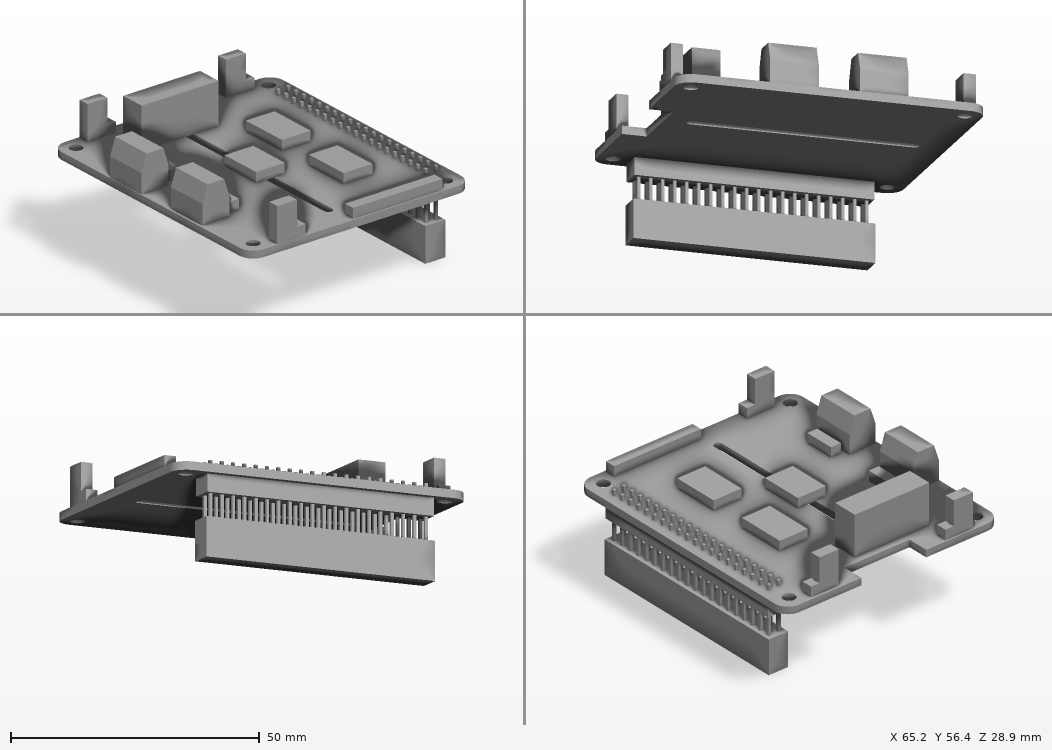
import cadquery as cq

BOARD_LENGTH = 65.2
BOARD_WIDTH = 56.4
BOARD_THICKNESS = 1.75
CORNER_RADIUS = 3.45
MOUNT_HOLE_DIAMETER = 3.0
MOUNT_HOLE_SPACING_X = 58.0
MOUNT_HOLE_SPACING_Y = 49.0
MOUNT_HOLE_EDGE_Y = 3.5
NOTCH_DEPTH = 5.2
NOTCH_FRONT = 19.55
NOTCH_LENGTH = 17.0
SLOT_WIDTH = 2.0
SLOT_CENTRE_Y = 25.2
SLOT_RIGHT_END = 59.25

LOW_HEIGHT = 2.5
BLOCK_LEFT = 6.9
BLOCK_FRONT = 13.0
BLOCK_LENGTH_X = 6.05
BLOCK_LENGTH_Y = 19.55
BLOCK_HEIGHT = 10.05
CHIP_WIDTH = 7.3
CHIP_ROW_FRONT = 35.2
LEFT_CHIP_X = 18.45
LEFT_CHIP_LENGTH = 11.8
RIGHT_CHIP_X = 39.1
RIGHT_CHIP_LENGTH = 11.35
SLOT_CHIP_X = 28.95
SLOT_CHIP_FRONT = 21.65
SLOT_CHIP_LENGTH = 10.3
STRIP_X = 62.2
STRIP_FRONT = 26.5
STRIP_THICKNESS = 2.6
STRIP_LENGTH = 22.75

UPRIGHT_THICKNESS = 2.6
UPRIGHT_LENGTH = 7.25
UPRIGHT_TALL_LENGTH = 5.0
UPRIGHT_HEIGHT = 8.5
FRONT_UPRIGHT_Y = 7.0
UPRIGHT_CORNERS = [
    (0.4, FRONT_UPRIGHT_Y),
    (62.45, FRONT_UPRIGHT_Y),
    (0.65, 42.0),
]

CONNECTOR_LENGTH = 10.3
CONNECTOR_WIDTH = 6.85
CONNECTOR_HEIGHT = 8.75
SHOULDER_HEIGHT = 4.75
SHOULDER_INSET = 1.3
CONNECTOR_CORNERS = [(19.2, 0.1), (38.4, 0.65)]
SMALL_PART_LENGTH = 7.4
SMALL_PART_WIDTH = 2.6
SMALL_PART_FRONT = 8.5
SMALL_PART_OFFSET = 1.5

PIN_COLUMNS = 20
PIN_ROWS = 2
PIN_PITCH = 2.55
PIN_SIZE = 0.65
PIN_HEIGHT = 1.3
PIN_GAP = 5.0
HEADER_CENTRE_X = BOARD_LENGTH / 2
HEADER_CENTRE_Y = 52.5
SPACER_LENGTH = PIN_COLUMNS * PIN_PITCH
SPACER_WIDTH = PIN_ROWS * PIN_PITCH
SPACER_HEIGHT = 3.8
SOCKET_LENGTH = 51.3
TOTAL_HEIGHT = 28.95

BOARD_BOTTOM = -BOARD_THICKNESS
SPACER_BOTTOM = BOARD_BOTTOM - SPACER_HEIGHT
SOCKET_TOP = SPACER_BOTTOM - PIN_GAP
SOCKET_BOTTOM = BLOCK_HEIGHT - TOTAL_HEIGHT


def box(left, front, bottom, length, width, height):
    """A box placed by its left, front, bottom corner."""
    return cq.Workplane("XY").box(length, width, height, centered=False).translate((left, front, bottom))


def header_box(bottom, top, length):
    """A box as wide as the spacer, centred on the pin field."""
    return (
        cq.Workplane("XY", origin=(HEADER_CENTRE_X, HEADER_CENTRE_Y, bottom))
        .box(length, SPACER_WIDTH, top - bottom, centered=(True, True, False))
    )


def pin_field(bottom, top):
    """All the square pins between two heights."""
    return (
        cq.Workplane("XY", origin=(HEADER_CENTRE_X, HEADER_CENTRE_Y, bottom))
        .rarray(PIN_PITCH, PIN_PITCH, PIN_COLUMNS, PIN_ROWS)
        .rect(PIN_SIZE, PIN_SIZE)
        .extrude(top - bottom)
    )


def bare_board():
    """The plate with its corner holes, edge notch and long slot."""
    board = box(0, 0, BOARD_BOTTOM, BOARD_LENGTH, BOARD_WIDTH, BOARD_THICKNESS)
    board = board.edges("|Z").fillet(CORNER_RADIUS)
    hole_centre_y = MOUNT_HOLE_EDGE_Y + MOUNT_HOLE_SPACING_Y / 2
    holes = (
        cq.Workplane("XY", origin=(BOARD_LENGTH / 2, hole_centre_y, BOARD_BOTTOM))
        .rarray(MOUNT_HOLE_SPACING_X, MOUNT_HOLE_SPACING_Y, 2, 2)
        .circle(MOUNT_HOLE_DIAMETER / 2)
        .extrude(BOARD_THICKNESS)
    )
    notch = box(0, NOTCH_FRONT, BOARD_BOTTOM, NOTCH_DEPTH, NOTCH_LENGTH, BOARD_THICKNESS)
    slot_left_end = BLOCK_LEFT + BLOCK_LENGTH_X / 2
    slot_centre_x = (slot_left_end + SLOT_RIGHT_END) / 2
    slot = (
        cq.Workplane("XY", origin=(slot_centre_x, SLOT_CENTRE_Y, BOARD_BOTTOM))
        .slot2D(SLOT_RIGHT_END - slot_left_end, SLOT_WIDTH)
        .extrude(BOARD_THICKNESS)
    )
    return board.cut(holes).cut(notch).cut(slot)


def upright(left, front):
    """An L-shaped part: tall in front, low behind."""
    tall = box(left, front, 0, UPRIGHT_THICKNESS, UPRIGHT_TALL_LENGTH, UPRIGHT_HEIGHT)
    foot = box(left, front, 0, UPRIGHT_THICKNESS, UPRIGHT_LENGTH, LOW_HEIGHT)
    return tall.union(foot)


def connector(left, front):
    """A block whose front and back lean inward above the shoulders."""
    back = front + CONNECTOR_WIDTH
    return (
        cq.Workplane("YZ", origin=(left, 0, 0))
        .moveTo(front, 0)
        .lineTo(back, 0)
        .lineTo(back, SHOULDER_HEIGHT)
        .lineTo(back - SHOULDER_INSET, CONNECTOR_HEIGHT)
        .lineTo(front + SHOULDER_INSET, CONNECTOR_HEIGHT)
        .lineTo(front, SHOULDER_HEIGHT)
        .close()
        .extrude(CONNECTOR_LENGTH)
    )


def board_parts():
    """Everything that stands on the top face of the board."""
    parts = [
        box(BLOCK_LEFT, BLOCK_FRONT, 0, BLOCK_LENGTH_X, BLOCK_LENGTH_Y, BLOCK_HEIGHT),
        box(LEFT_CHIP_X, CHIP_ROW_FRONT, 0, LEFT_CHIP_LENGTH, CHIP_WIDTH, LOW_HEIGHT),
        box(RIGHT_CHIP_X, CHIP_ROW_FRONT, 0, RIGHT_CHIP_LENGTH, CHIP_WIDTH, LOW_HEIGHT),
        box(SLOT_CHIP_X, SLOT_CHIP_FRONT, 0, SLOT_CHIP_LENGTH, CHIP_WIDTH, LOW_HEIGHT),
        box(STRIP_X, STRIP_FRONT, 0, STRIP_THICKNESS, STRIP_LENGTH, LOW_HEIGHT),
    ]
    for left, front in UPRIGHT_CORNERS:
        parts.append(upright(left, front))
    for left, front in CONNECTOR_CORNERS:
        parts.append(connector(left, front))
        small_left = left + SMALL_PART_OFFSET
        parts.append(box(small_left, SMALL_PART_FRONT, 0, SMALL_PART_LENGTH, SMALL_PART_WIDTH, LOW_HEIGHT))
    return parts


def make_board():
    """Body 1: the board with its parts, pierced by the header pins."""
    board = bare_board()
    for part in board_parts():
        board = board.union(part)
    return board.cut(pin_field(BOARD_BOTTOM, 0))


def make_header():
    """Body 2: spacer, pins and socket in one piece."""
    spacer = header_box(SPACER_BOTTOM, BOARD_BOTTOM, SPACER_LENGTH)
    socket = header_box(SOCKET_BOTTOM, SOCKET_TOP, SOCKET_LENGTH)
    return spacer.union(socket).union(pin_field(SOCKET_TOP, PIN_HEIGHT))


board = make_board()
header = make_header()
result = cq.Compound.makeCompound([board.val(), header.val()])